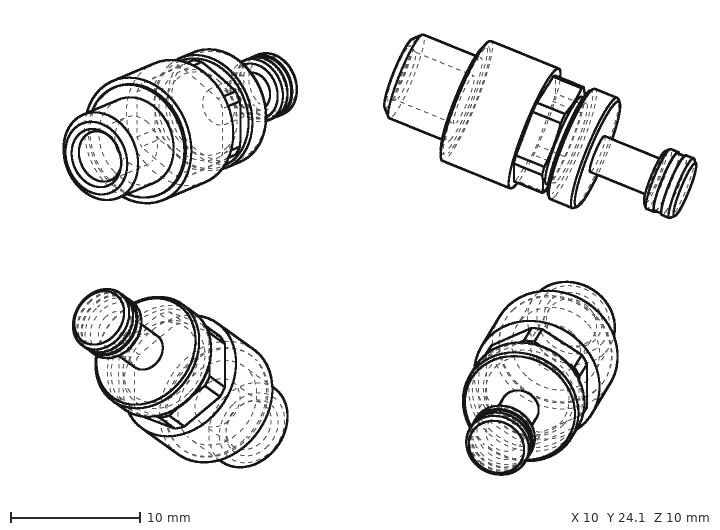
import cadquery as cq

spigot_end = 5.47
shoulder_end = 5.69
body_end = 11.42
hex_end = 13.9
neck_end = 14.4
collar_end = 16.73
head_start = 21.6
head_end = 24.1

spigot_diameter = 7.0
spigot_chamfer = 0.6
shoulder_diameter = 9.0
body_diameter = 10.0
neck_base_diameter = 7.28
neck_tip_diameter = 6.65
collar_diameter = 9.2
collar_chamfer = 0.22
rod_diameter = 3.0
head_diameter = 5.0
head_chamfer = 0.3
groove_diameter = 4.8
groove_width = 0.65

hex_across_flats = 8.0
hex_corner_diameter = 8.8
hex_rim_drop = 0.1

bore_diameter = 4.0
bore_depth = spigot_end
bore_mouth_diameter = 4.63
bore_mouth_depth = 0.53


def cylinder(diameter, start, end):
    """Cylinder on the Y axis between two positions."""
    return cq.Workplane("XZ", origin=(0, start, 0)).circle(diameter / 2).extrude(start - end)


def revolved(half_profile):
    """Solid turned about the Y axis from (radius, position) points."""
    return cq.Workplane("XY").polyline(half_profile).close().revolve(360, (0, 0, 0), (0, 1, 0))


def make_spigot():
    return cylinder(spigot_diameter, 0, spigot_end).faces("<Y").chamfer(spigot_chamfer)


def make_hexagon():
    """Hexagon with two corners pointing along Z, trimmed by its turned envelope."""
    prism = (
        cq.Workplane("XZ", origin=(0, body_end, 0))
        .polygon(6, hex_across_flats, circumscribed=True)
        .extrude(body_end - hex_end)
    )
    envelope = revolved([
        (0, body_end),
        (hex_corner_diameter / 2, body_end),
        (hex_corner_diameter / 2, hex_end - hex_rim_drop),
        (hex_across_flats / 2, hex_end),
        (0, hex_end),
    ])
    return prism.intersect(envelope)


def make_neck():
    return revolved([
        (0, hex_end),
        (neck_base_diameter / 2, hex_end),
        (neck_tip_diameter / 2, neck_end),
        (0, neck_end),
    ])


def make_collar():
    return cylinder(collar_diameter, neck_end, collar_end).edges("%CIRCLE").chamfer(collar_chamfer)


def make_head():
    """Chamfered head with a shallow groove at mid-length."""
    head = cylinder(head_diameter, head_start, head_end).edges("%CIRCLE").chamfer(head_chamfer)
    groove_start = (head_start + head_end - groove_width) / 2
    groove_end = groove_start + groove_width
    ring = cylinder(head_diameter, groove_start, groove_end).cut(
        cylinder(groove_diameter, groove_start, groove_end)
    )
    return head.cut(ring)


def make_bore():
    return revolved([
        (0, 0),
        (bore_mouth_diameter / 2, 0),
        (bore_diameter / 2, bore_mouth_depth),
        (bore_diameter / 2, bore_depth),
        (0, bore_depth),
    ])


result = (
    make_spigot()
    .union(cylinder(shoulder_diameter, spigot_end, shoulder_end))
    .union(cylinder(body_diameter, shoulder_end, body_end))
    .union(make_hexagon())
    .union(make_neck())
    .union(make_collar())
    .union(cylinder(rod_diameter, collar_end, head_start))
    .union(make_head())
    .cut(make_bore())
)